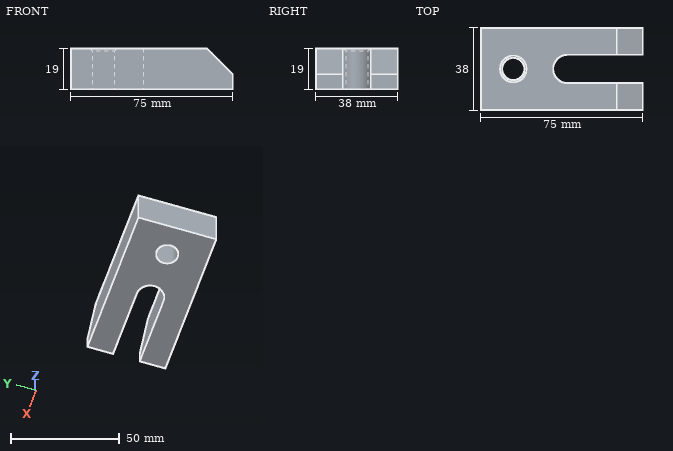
import cadquery as cq

length = 75.0
width = 38.0
height = 19.0

nose_chamfer = 12.0

slot_width = 13.0
slot_start = 33.5

hole_x = 15.0
hole_diameter = 10.2
countersink_diameter = 12.3
countersink_angle = 90.0


def make_body():
    """Block with its rear face at X = 0, centred on Y and resting on Z = 0."""
    block = cq.Workplane("XY").box(length, width, height, centered=(False, True, False))
    return block.edges(">X and >Z").chamfer(nose_chamfer)


def make_slot():
    """Cutter for the slot, running from its round end out through the nose."""
    radius = slot_width / 2
    arc_center_x = slot_start + radius
    return (
        cq.Workplane("XY")
        .moveTo(length, -radius)
        .lineTo(arc_center_x, -radius)
        .threePointArc((slot_start, 0), (arc_center_x, radius))
        .lineTo(length, radius)
        .close()
        .extrude(height)
    )


def add_hole(body):
    """Drill and countersink the hole from the top face."""
    return (
        body.faces(">Z")
        .workplane(origin=(hole_x, 0, height))
        .cskHole(hole_diameter, countersink_diameter, countersink_angle)
    )


result = add_hole(make_body().cut(make_slot()))